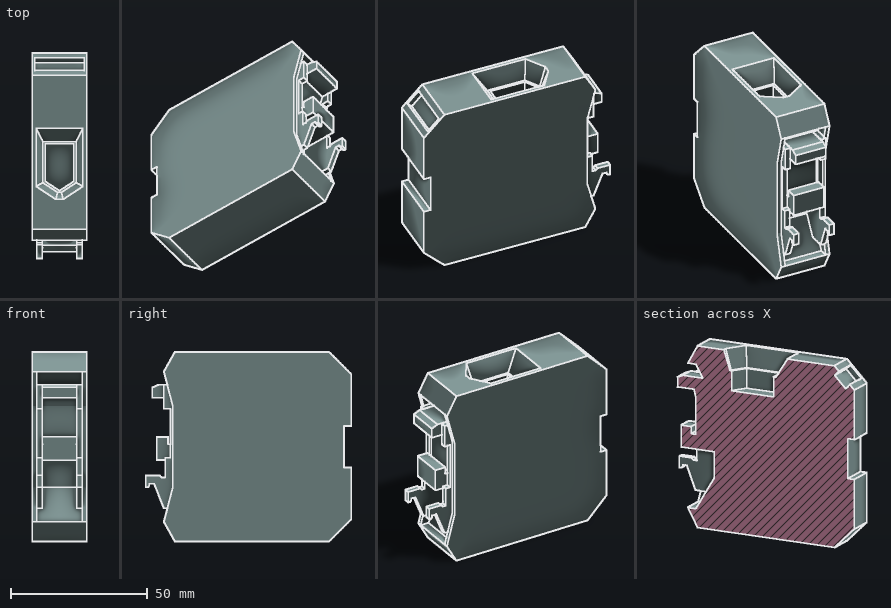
import cadquery as cq
import math


width = 20.0
height = 69.5
overall_depth = 75.3
latch_reach = 6.6
depth = overall_depth - latch_reach
half_height = height / 2
nose_run = 4.1
nose_tip_z = 27.5
rail_inset = 3.3
rail_half_height = 14.9
back_chamfer = 8.2
notch_depth = 2.6
notch_half_height = 7.5

wall = 1.65
recess_half_width = width / 2 - wall
recess_depth = 10.85

foot_half_height = 22.6
plate_thickness = 2.1
plate_inner_x = recess_half_width - plate_thickness

slot_half_width = 9.1
slot_start = 1.9
slot_run = 4.45
slot_depth = 2.5

funnel_depth = 7.7
well_depth = 7.5
point_slope = 0.66
rim_half_width = 8.6
rim_back = 41.1
rim_corner = 19.8
rim_tip_half = 1.35
floor_half_width = 6.1
floor_back = 36.2
floor_corner = 21.15
floor_tip_half = 0.7
well_half_width = 5.2
well_back = 35.3
well_corner = 21.6


def prism(points, x_start, x_end):
    """Extrude a (Y, Z) outline from x_start to x_end."""
    return cq.Workplane("YZ", origin=(x_start, 0, 0)).polyline(points).close().extrude(x_end - x_start)


def make_housing():
    upper_half = [
        (rail_inset, rail_half_height),
        (0, nose_tip_z),
        (nose_run, half_height),
        (depth - back_chamfer, half_height),
        (depth, half_height - back_chamfer),
        (depth, notch_half_height),
        (depth - notch_depth, notch_half_height),
    ]
    lower_half = [(y, -z) for y, z in reversed(upper_half)]
    return prism(upper_half + lower_half, -width / 2, width / 2)


def make_recess():
    open_margin = 0.75
    upper_half = [
        (recess_depth, rail_half_height),
        (rail_inset, nose_tip_z),
        (-open_margin, nose_tip_z),
    ]
    lower_half = [(y, -z) for y, z in reversed(upper_half)]
    return prism(upper_half + lower_half, -recess_half_width, recess_half_width)


def make_latch_plate(x_start):
    lip_bottom_z = 13.85
    web_y = 2.4
    step_z = -4.1
    stem_y = 0.5
    shelf_z = -11.2
    arm_top_z = -10.5
    arm_bottom_z = -13.6
    barb_bottom_z = -14.9
    barb_back_y = -5.3
    barb_bevel = 0.6
    shelf_front_y = -0.75
    arm_root_y = -3.55
    outline = [
        (recess_depth, foot_half_height),
        (0, foot_half_height),
        (0, lip_bottom_z),
        (web_y, lip_bottom_z),
        (web_y, step_z),
        (stem_y, step_z),
        (stem_y, shelf_z),
        (shelf_front_y, shelf_z),
        (shelf_front_y - (arm_top_z - shelf_z), arm_top_z),
        (-latch_reach, arm_top_z),
        (-latch_reach, barb_bottom_z),
        (barb_back_y - barb_bevel, barb_bottom_z),
        (barb_back_y, barb_bottom_z + barb_bevel),
        (barb_back_y, arm_bottom_z),
        (arm_root_y, arm_bottom_z),
        (0, -foot_half_height),
        (recess_depth, -foot_half_height),
    ]
    return prism(outline, x_start, x_start + plate_thickness)


def make_filler():
    """Centre of the foot: upper rail hook and middle stop block on a common pad."""
    hook_top_z = 22.7
    hook_bottom_z = 17.85
    hook_front_y = -4.2
    hook_bevel_run = 2.4
    hook_bevel_drop = 1.05
    block_front_y = -2.6
    block_back_y = 1.6
    block_top_z = 3.6
    gap_bottom_z = 0.9
    pad_bottom_z = -4.9
    nose_slope = rail_inset / (nose_tip_z - rail_half_height)
    pad_y_under_hook = rail_inset - nose_slope * (hook_bottom_z - rail_half_height)
    outline = [
        (recess_depth, hook_top_z),
        (hook_front_y + hook_bevel_run, hook_top_z),
        (hook_front_y, hook_top_z - hook_bevel_drop),
        (hook_front_y, hook_bottom_z),
        (pad_y_under_hook, hook_bottom_z),
        (rail_inset, rail_half_height),
        (rail_inset, gap_bottom_z),
        (block_back_y, gap_bottom_z),
        (block_back_y, block_top_z),
        (block_front_y, block_top_z),
        (block_front_y, pad_bottom_z),
        (recess_depth, pad_bottom_z),
    ]
    return prism(outline, -plate_inner_x, plate_inner_x)


def make_chamfer_slot():
    d = slot_depth / math.sqrt(2)
    y_out = depth - slot_start
    y_in = y_out - slot_run
    chamfer_sum = depth + half_height - back_chamfer
    outline = [
        (y_out + d, chamfer_sum - y_out + d),
        (y_in + d, chamfer_sum - y_in + d),
        (y_in - d, chamfer_sum - y_in - d),
        (y_out - d, chamfer_sum - y_out - d),
    ]
    return prism(outline, -slot_half_width, slot_half_width)


def pointed_outline(half_width, back, corner, tip_half):
    """(X, Y) outline with a square back and a pointed, blunted front."""
    tip = corner - point_slope * (half_width - tip_half)
    return [
        (-half_width, back),
        (half_width, back),
        (half_width, corner),
        (tip_half, tip),
        (-tip_half, tip),
        (-half_width, corner),
    ]


def make_funnel():
    rim = pointed_outline(rim_half_width, rim_back, rim_corner, rim_tip_half)
    floor = pointed_outline(floor_half_width, floor_back, floor_corner, floor_tip_half)
    return (
        cq.Workplane("XY", origin=(0, 0, half_height))
        .polyline(rim)
        .close()
        .workplane(offset=-funnel_depth)
        .polyline(floor)
        .close()
        .loft(ruled=True)
    )


def make_well():
    well_tip = well_corner - point_slope * well_half_width
    outline = [
        (-well_half_width, well_back),
        (well_half_width, well_back),
        (well_half_width, well_corner),
        (0, well_tip),
        (-well_half_width, well_corner),
    ]
    floor_z = half_height - funnel_depth - well_depth
    return cq.Workplane("XY", origin=(0, 0, floor_z)).polyline(outline).close().extrude(well_depth)


result = make_housing().cut(make_recess())
for plate_x in (-recess_half_width, plate_inner_x):
    result = result.union(make_latch_plate(plate_x))
result = result.union(make_filler())
result = result.cut(make_chamfer_slot())
result = result.cut(make_funnel()).cut(make_well())